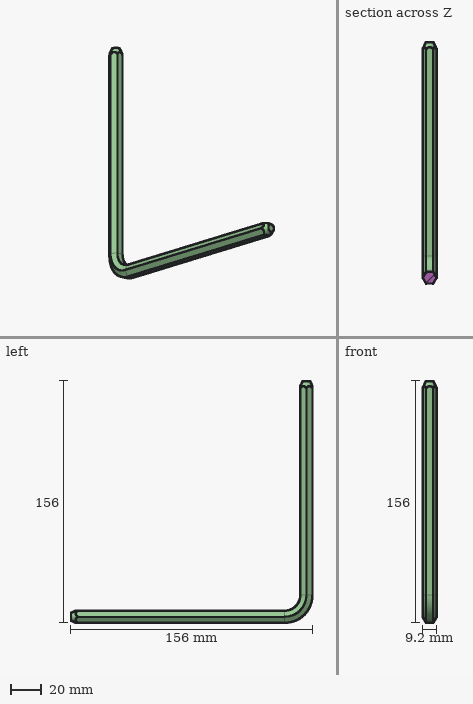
import cadquery as cq
import math

arm_span = 156.0
across_corners = 9.2
inner_bend_radius = 10.0
tip_diameter = 5.0
tip_half_angle = 25.0

across_flats = across_corners * math.cos(math.radians(30))
bend_radius = inner_bend_radius + across_flats / 2
arm_end = arm_span - across_flats / 2
tip_length = (across_corners - tip_diameter) / 2 / math.tan(math.radians(tip_half_angle))


def pointed_arm():
    """Straight arm along +Z from the end of the bend, with flats facing +Y and -Y."""
    bar = (
        cq.Workplane("XY")
        .workplane(offset=bend_radius)
        .polygon(6, across_corners)
        .extrude(arm_end - bend_radius)
    )
    clearance = across_corners / 2
    envelope_radius = across_corners / 2 + clearance
    cone_base = arm_end - tip_length - clearance / math.tan(math.radians(tip_half_angle))
    envelope = (
        cq.Workplane("XZ")
        .polyline([
            (0, bend_radius),
            (envelope_radius, bend_radius),
            (envelope_radius, cone_base),
            (tip_diameter / 2, arm_end),
            (0, arm_end),
        ])
        .close()
        .revolve(360, (0, 0, 0), (0, 1, 0))
    )
    return bar.intersect(envelope)


def bend():
    """Quarter turn of the hexagon about an X-parallel axis at Y = Z = bend_radius."""
    return (
        cq.Workplane("XY")
        .workplane(offset=bend_radius)
        .polygon(6, across_corners)
        .revolve(90, (0, bend_radius, 0), (1, bend_radius, 0))
    )


upright_arm = pointed_arm()
level_arm = upright_arm.rotate((0, 0, 0), (1, 0, 0), -90)

result = upright_arm.union(bend()).union(level_arm)